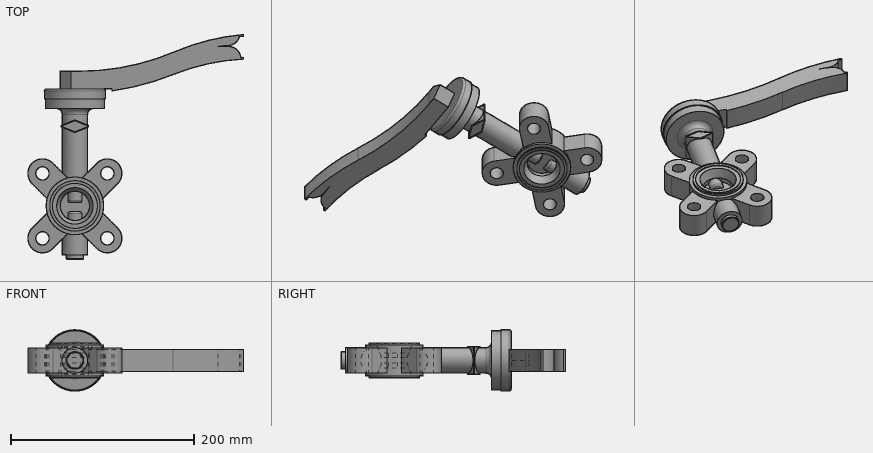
import cadquery as cq
import math


ring_radius = 31.5
ring_half_height = 17.0
raised_face_radius = 27.5
raised_face_height = 2.2
raised_face_z = ring_half_height + raised_face_height
seat_radius = 24.5
seat_depth = 0.7
seat_z = raised_face_z - seat_depth

mouth_radius = 19.9
bore_radius = 16.0
taper_bottom_z = 8.0
disc_half_thickness = 3.0

lug_count = 4
lug_circle_radius = 50.0
lug_radius = 16.0
lug_half_height = 13.7
lug_hole_radius = 7.0

shaft_radius = 14.0
shaft_bottom_y = -53.5
plug_radius = 9.5
plug_length = 5.0
plug_chamfer = 0.7
stub_radius = 8.0
stub_fillet = 2.2
upper_stub_end_y = 3.5
lower_stub_end_y = -6.4

flange_bottom_y = 106.0
cap_bottom_y = 116.5
cap_top_y = 127.5
flange_radius = 32.4
flange_neck_fillet = 6.1
cap_diameter = 67.0
cap_fillet = 2.5

tag_center_y = 86.8
tag_half_width = 15.0
tag_half_length = 6.9
tag_tip_half_length = 0.7
tag_half_height = 15.2
tag_border = 0.7
tag_recess_depth = 0.5

lever_height = 24.3
lever_half_height = lever_height / 2
lever_tip_x = -16.2
lever_end_x = 184.0
lever_step_x = 40.2
upper_bend_start = (5.0, 146.9)
upper_inflection = (109.0, 168.2)
upper_end_y = 186.8
lower_bend_start = (2.2, 122.5)
lower_inflection = (107.0, 143.0)
lower_end_y = 159.9
notch_tip = (155.7, 173.8)
notch_throat_x = 167.2
notch_throat_gap = 0.7
upper_notch_end = (179.5, 184.5)
lower_notch_end = (181.0, 161.8)


def y_cylinder(radius, start_y, end_y):
    """Cylinder on the Y axis between two Y positions."""
    return cq.Workplane("XZ", origin=(0, start_y, 0)).circle(radius).extrude(start_y - end_y)


def z_cylinder(radius, half_height):
    """Cylinder on the Z axis, centred on the XY plane."""
    return cq.Workplane("XY").circle(radius).extrude(half_height, both=True)


def lug(angle):
    """Round-ended arm reaching from the Z axis to its mounting hole."""
    arm = cq.Workplane("XY").rect(lug_circle_radius, 2 * lug_radius).extrude(lug_half_height, both=True)
    arm = arm.translate((lug_circle_radius / 2, 0, 0))
    tip = z_cylinder(lug_radius, lug_half_height).translate((lug_circle_radius, 0, 0))
    hole = z_cylinder(lug_hole_radius, lug_half_height).translate((lug_circle_radius, 0, 0))
    return arm.union(tip).cut(hole).rotate((0, 0, 0), (0, 0, 1), angle)


def shaft():
    """Shaft with a flange at its top and a plug at its bottom."""
    neck_y = flange_bottom_y - flange_neck_fillet
    neck_offset = flange_neck_fillet * (1 - math.sqrt(0.5))
    column = (
        cq.Workplane("XY")
        .moveTo(0, shaft_bottom_y)
        .lineTo(shaft_radius, shaft_bottom_y)
        .lineTo(shaft_radius, neck_y)
        .threePointArc(
            (shaft_radius + neck_offset, flange_bottom_y - neck_offset),
            (shaft_radius + flange_neck_fillet, flange_bottom_y),
        )
        .lineTo(flange_radius, flange_bottom_y)
        .lineTo(flange_radius, cap_bottom_y)
        .lineTo(0, cap_bottom_y)
        .close()
        .revolve(360, (0, 0, 0), (0, 1, 0))
    )
    plug = y_cylinder(plug_radius, shaft_bottom_y, shaft_bottom_y - plug_length)
    return column.union(plug.faces("<Y").chamfer(plug_chamfer))


def tag_block():
    """Diamond block with blunt side tips and a shallow recess in both end faces."""
    outline = [
        (tag_half_width, -tag_tip_half_length),
        (tag_half_width, tag_tip_half_length),
        (0, tag_half_length),
        (-tag_half_width, tag_tip_half_length),
        (-tag_half_width, -tag_tip_half_length),
        (0, -tag_half_length),
    ]
    diamond = cq.Workplane("XY").polyline(outline).close()
    block = diamond.extrude(tag_half_height, both=True)
    recess = (
        cq.Workplane("XY", origin=(0, 0, tag_half_height))
        .polyline(outline)
        .close()
        .offset2D(-tag_border, "intersection")
        .extrude(-tag_recess_depth)
    )
    block = block.cut(recess).cut(recess.mirror("XY"))
    return block.translate((0, tag_center_y, 0))


def bore_pocket():
    """Upper half of the bore: seat, tapered mouth and straight bore down to the disc."""
    return (
        cq.Workplane("XZ")
        .polyline([
            (0, disc_half_thickness),
            (bore_radius, disc_half_thickness),
            (bore_radius, taper_bottom_z),
            (mouth_radius, seat_z),
            (seat_radius, seat_z),
            (seat_radius, raised_face_z),
            (0, raised_face_z),
        ])
        .close()
        .revolve(360, (0, 0, 0), (0, 1, 0))
    )


def shaft_stubs():
    """Round-edged shaft ends that reach into the bore on both sides of its centre."""
    upper = y_cylinder(stub_radius, upper_stub_end_y, mouth_radius)
    lower = y_cylinder(stub_radius, lower_stub_end_y, -mouth_radius)
    return upper.faces("<Y").fillet(stub_fillet).union(lower.faces(">Y").fillet(stub_fillet))


def make_valve_body():
    body = z_cylinder(ring_radius, ring_half_height)
    body = body.union(z_cylinder(raised_face_radius, raised_face_z))
    body = body.union(shaft()).union(tag_block())
    for index in range(lug_count):
        body = body.union(lug((index + 0.5) * 360 / lug_count))
    pocket = bore_pocket()
    body = body.cut(pocket).cut(pocket.mirror("XY"))
    return body.union(shaft_stubs())


def under_curve(bend_start, inflection, end_y):
    """Plate below an S-curve of two arcs that starts level, down to the underside of the cap."""
    return (
        cq.Workplane("XY")
        .moveTo(lever_tip_x, cap_bottom_y)
        .lineTo(lever_tip_x, bend_start[1])
        .lineTo(*bend_start)
        .tangentArcPoint(inflection, relative=False)
        .tangentArcPoint((lever_end_x, end_y), relative=False)
        .lineTo(lever_end_x, cap_bottom_y)
        .close()
        .extrude(lever_half_height, both=True)
    )


def notch_half(throat_gap, arc_end):
    """One side of the fishtail notch: a slit that opens along a round lobe."""
    return (
        cq.Workplane("XY")
        .moveTo(*notch_tip)
        .lineTo(notch_throat_x, notch_tip[1] + throat_gap)
        .tangentArcPoint(arc_end, relative=False)
        .lineTo(lever_end_x, arc_end[1])
        .lineTo(lever_end_x, notch_tip[1])
        .close()
        .extrude(lever_half_height, both=True)
    )


def lever():
    """S-shaped bar with a V-shaped near end and a fishtail far end."""
    bar = under_curve(upper_bend_start, upper_inflection, upper_end_y)
    bar = bar.cut(under_curve(lower_bend_start, lower_inflection, lower_end_y))
    step_length = lever_step_x - lever_tip_x
    step = cq.Workplane("XY").box(step_length, cap_top_y - cap_bottom_y, lever_height)
    bar = bar.cut(step.translate((lever_tip_x + step_length / 2, (cap_top_y + cap_bottom_y) / 2, 0)))
    for corner_z in (lever_half_height, -lever_half_height):
        corner = (
            cq.Workplane("XZ")
            .polyline([(lever_tip_x, 0), (lever_tip_x + lever_half_height, corner_z), (lever_tip_x, corner_z)])
            .close()
            .extrude(-upper_end_y)
        )
        bar = bar.cut(corner)
    return bar.cut(notch_half(notch_throat_gap, upper_notch_end)).cut(notch_half(0, lower_notch_end))


def make_handle():
    cap = y_cylinder(cap_diameter / 2, cap_bottom_y, cap_top_y).faces(">Y").fillet(cap_fillet)
    return cap.union(lever())


valve_body = make_valve_body()
handle = make_handle()
result = cq.Compound.makeCompound([valve_body.val(), handle.val()])